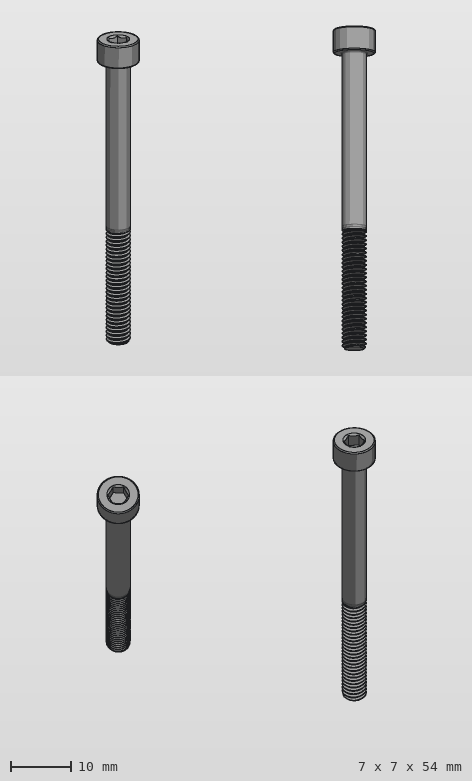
import cadquery as cq
import math

total_height = 54.0

head_diameter = 7.0
head_height = 4.0
head_chamfer = 0.2
head_bottom = total_height - head_height

hexagon_sides = 6
socket_width = 3.0
socket_depth = 2.3
socket_mouth_diameter = 3.75
socket_mouth_slope = 45.0

thread_diameter = 4.0
thread_pitch = 0.7
thread_length = 20.0
tip_chamfer = 0.4
crest_phase = 0.25

shank_diameter = 4.15
shank_bottom = 20.68
shank_taper = 0.38
under_head_fillet = 0.15

flank_angle = 30.0
flank_slope = math.tan(math.radians(flank_angle))
crest_width = thread_pitch / 8
root_width = thread_pitch / 4
thread_depth = (thread_pitch - crest_width - root_width) / (2 * flank_slope)
root_radius = thread_diameter / 2 - thread_depth
ridge_embed = 0.05


def revolve_about_z(profile):
    return profile.revolve(360, (0, 0, 0), (0, 1, 0))


def make_plain_body():
    """Head, plain shank and the neck above the thread, turned as one profile."""
    head_radius = head_diameter / 2
    shank_radius = shank_diameter / 2
    neck_radius = thread_diameter / 2
    profile = (
        cq.Workplane("XZ")
        .moveTo(0, thread_length)
        .lineTo(neck_radius, thread_length)
        .lineTo(neck_radius, shank_bottom - shank_taper)
        .lineTo(shank_radius, shank_bottom)
        .lineTo(shank_radius, head_bottom - under_head_fillet)
        .radiusArc((shank_radius + under_head_fillet, head_bottom), under_head_fillet)
        .lineTo(head_radius - head_chamfer, head_bottom)
        .lineTo(head_radius, head_bottom + head_chamfer)
        .lineTo(head_radius, total_height - head_chamfer)
        .lineTo(head_radius - head_chamfer, total_height)
        .lineTo(0, total_height)
        .close()
    )
    return revolve_about_z(profile)


def cut_socket(body):
    """Hexagonal socket with two corners on the Y axis and a conical lead-in."""
    corner_diameter = socket_width / math.cos(math.pi / hexagon_sides)
    hexagon = (
        cq.Workplane("XY")
        .workplane(offset=total_height - socket_depth)
        .transformed(rotate=(0, 0, 90))
        .polygon(hexagon_sides, corner_diameter)
        .extrude(socket_depth)
    )
    mouth_radius = socket_mouth_diameter / 2
    cone_depth = mouth_radius * math.tan(math.radians(socket_mouth_slope))
    cone_profile = (
        cq.Workplane("XZ")
        .moveTo(0, total_height)
        .lineTo(mouth_radius, total_height)
        .lineTo(0, total_height - cone_depth)
        .close()
    )
    return body.cut(hexagon).cut(revolve_about_z(cone_profile))


def make_ridge():
    """Right-handed helical ridge that runs past both ends of the thread."""
    inner_radius = root_radius - ridge_embed
    outer_radius = thread_diameter / 2
    crest_half = crest_width / 2
    base_half = crest_half + (outer_radius - inner_radius) * flank_slope
    section = [
        (outer_radius, -crest_half),
        (inner_radius, -base_half),
        (inner_radius, base_half),
        (outer_radius, crest_half),
    ]
    lead_in_turns = 2.5
    lead_out_turns = 0.5
    turns = lead_in_turns + math.ceil(thread_length / thread_pitch) + lead_out_turns
    start = crest_phase - lead_in_turns * thread_pitch
    height = turns * thread_pitch

    helices = [
        cq.Wire.makeHelix(thread_pitch, height, radius, center=cq.Vector(0, 0, start + rise))
        for radius, rise in section
    ]
    faces = [
        cq.Face.makeRuledSurface(helix, following)
        for helix, following in zip(helices, helices[1:] + helices[:1])
    ]
    for end in (start, start + height):
        corners = [cq.Vector(radius, 0, end + rise) for radius, rise in section]
        faces.append(cq.Face.makeFromWires(cq.Wire.makePolygon(corners, close=True)))
    return cq.Workplane(cq.Solid.makeSolid(cq.Shell.makeShell(faces)))


def make_thread():
    """Threaded core with the ridge trimmed by the flat ends and the conical tip."""
    seam_angle = 77
    envelope_margin = 0.5
    envelope = (
        cq.Workplane("XY")
        .circle(thread_diameter / 2 + envelope_margin)
        .extrude(thread_length)
        .faces("<Z")
        .chamfer(tip_chamfer + envelope_margin)
        .rotate((0, 0, 0), (0, 0, 1), seam_angle)
    )
    core = cq.Workplane("XY").circle(root_radius).extrude(thread_length)
    core = core.rotate((0, 0, 0), (0, 0, 1), seam_angle)
    return core.union(make_ridge().intersect(envelope))


result = cut_socket(make_plain_body()).union(make_thread())